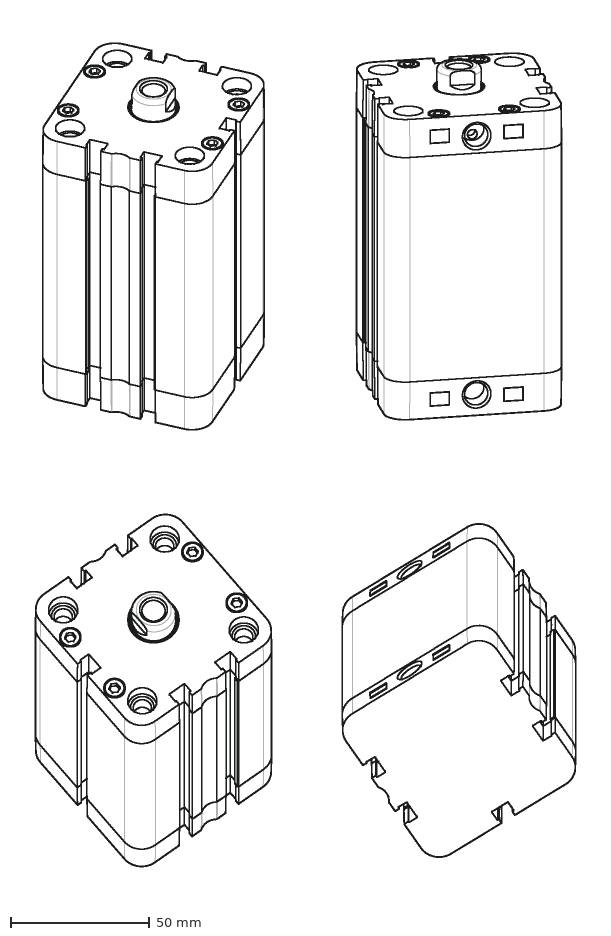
import cadquery as cq
import math


SIDE = 65.5
CORNER_RADIUS = 8.0
TOTAL_LENGTH = 123.0
ROD_PROJECTION = 8.2
CAP_HEIGHT = 14.5
CAP_DRAFT = 0.7
BORE_DIAMETER = 50.0

HALF = SIDE / 2
HOUSING_LENGTH = TOTAL_LENGTH - ROD_PROJECTION
BARREL_LENGTH = HOUSING_LENGTH - 2 * CAP_HEIGHT
BARREL_TOP = CAP_HEIGHT + BARREL_LENGTH
CUT_MARGIN = 1.0

SLOT_OFFSET = 10.5
SLOT_WIDTH = 7.0
SLOT_DEPTH = 5.6
LIP_DEPTH = 1.9
INNER_LIP = 0.7
BARREL_OUTER_LIP = 0.9
CAP_OUTER_LIP = 0.4
LIP_CHAMFER = 0.4
SIDE_SLOT_LIP = 0.65
CAP_SIDE_SLOT_DEPTH = 5.8
BARREL_SIDE_SLOT_DEPTH = 5.5

GROOVE_WIDTH = 7.0
GROOVE_DEPTH = 1.2
GROOVE_EDGE_FILLET = 0.5

MOUNT_PITCH = 46.5
MOUNT_COUNTERBORE_DIAMETER = 10.5
MOUNT_COUNTERBORE_DEPTH = 5.0
MOUNT_CHAMFER_DIAMETER = 8.38
MOUNT_HOLE_DIAMETER = 6.65
MOUNT_HOLE_DEPTH = 12.0

SCREW_X = 28.0
SCREW_Y = 13.0
SCREW_HEAD_DIAMETER = 7.5
SCREW_SEAT_DIAMETER = 7.7
SCREW_RING_DEPTH = 0.5
SCREW_FACE_DIAMETER = 6.9
SOCKET_FLATS = 3.5
SOCKET_DEPTH = 2.0

PORT_DIAMETER = 8.57
PORT_MOUTH_DIAMETER = 10.5
PORT_DEPTH = 8.0
PORT_INSET = 8.0
PORT_SIDE_SHIFT = (CAP_HEIGHT - PORT_INSET) * math.tan(math.radians(CAP_DRAFT))
PASSAGE_DIAMETER = 3.5
PASSAGE_OFFSET = 2.0
PASSAGE_DEPTH = 4.0

LABEL_Y = 13.6
LABEL_WIDTH = 7.0
LABEL_HEIGHT = 5.0
LABEL_DEPTH = 0.3
LABEL_INSET = 7.2

ROD_DIAMETER = 16.0
ROD_TIP_FILLET = 1.7
ROD_FLATS = 13.2
ROD_FLAT_LENGTH = 5.4
ROD_THREAD_DIAMETER = 8.38
ROD_THREAD_MOUTH = 10.0
ROD_THREAD_DEPTH = 20.0
PISTON_LENGTH = 16.0

ROD_MOUTH_DIAMETER = 18.5
ROD_SEAL_DIAMETER = 17.7
ROD_SEAL_DEPTH = 0.5
ROD_GAP_DIAMETER = 16.54
ROD_GAP_DEPTH = 1.0


def frustum(diameter_at_mouth, diameter_below):
    """Closed 45 degree countersink, mouth on Z = 0, opening upwards."""
    mouth, below = diameter_at_mouth / 2, diameter_below / 2
    return (
        cq.Workplane("XZ")
        .polyline([(0, 0), (mouth, 0), (below, below - mouth), (0, below - mouth)])
        .close()
        .revolve(360, (0, 0, 0), (0, 1, 0))
    )


def drill(diameter, depth):
    """Cylinder reaching from Z = 0 downwards."""
    return cq.Workplane("XY").circle(diameter / 2).extrude(-depth)


def slot_pair_cutter(outer_lip, lip_chamfer, length):
    """The two lipped slots of the -Y side, up from Z = 0."""
    channel_inner = SLOT_OFFSET - SLOT_WIDTH / 2
    channel_outer = SLOT_OFFSET + SLOT_WIDTH / 2
    mouth_inner = channel_inner + INNER_LIP
    mouth_outer = channel_outer - outer_lip
    lip_y = LIP_DEPTH - HALF
    flare = lip_chamfer + CUT_MARGIN if lip_chamfer else 0
    slot = (
        cq.Workplane("XY")
        .moveTo(mouth_inner, -HALF - CUT_MARGIN)
        .lineTo(mouth_inner, lip_y)
        .lineTo(channel_inner, lip_y)
        .lineTo(channel_inner, SLOT_DEPTH - HALF)
        .lineTo(channel_outer, SLOT_DEPTH - HALF)
        .lineTo(channel_outer, lip_y)
        .lineTo(mouth_outer, lip_y)
        .lineTo(mouth_outer, lip_chamfer - HALF)
        .lineTo(mouth_outer + flare, -HALF - CUT_MARGIN)
        .close()
        .extrude(length)
    )
    return slot.union(slot.mirror("YZ"))


def groove_cutter(length):
    """Round groove in the middle of the -Y side, up from Z = 0."""
    half_width = GROOVE_WIDTH / 2
    radius = (half_width**2 + GROOVE_DEPTH**2) / (2 * GROOVE_DEPTH)
    return (
        cq.Workplane("XY")
        .center(0, GROOVE_DEPTH - HALF - radius)
        .circle(radius)
        .extrude(length)
    )


def side_slot_cutter(depth, length):
    """The single lipped slot of the +X side, up from Z = 0."""
    channel_depth = depth - LIP_DEPTH
    channel = (
        cq.Workplane("XY")
        .center(HALF - depth + channel_depth / 2, 0)
        .rect(channel_depth, SLOT_WIDTH)
        .extrude(length)
    )
    mouth_depth = LIP_DEPTH + CUT_MARGIN
    mouth = (
        cq.Workplane("XY")
        .center(HALF + CUT_MARGIN - mouth_depth / 2, 0)
        .rect(mouth_depth, SLOT_WIDTH - 2 * SIDE_SLOT_LIP)
        .extrude(length)
    )
    return channel.union(mouth)


def profile_block(length, draft, outer_lip, lip_chamfer, side_slot_depth):
    """Rounded square block with all lengthwise slots, up from Z = 0; the grooves follow the draft."""
    outline = cq.Sketch().rect(SIDE, SIDE).vertices().fillet(CORNER_RADIUS)
    block = cq.Workplane("XY").placeSketch(outline).extrude(length, taper=draft)
    groove = groove_cutter(length + CUT_MARGIN).translate((0, 0, -CUT_MARGIN / 2))
    groove = groove.rotate((0, -HALF, 0), (1, -HALF, 0), -draft)
    front_cuts = slot_pair_cutter(outer_lip, lip_chamfer, length).union(groove)
    block = block.cut(front_cuts).cut(front_cuts.mirror("XZ"))
    return block.cut(side_slot_cutter(side_slot_depth, length))


def port_cutter():
    """Port with countersunk mouth on the -X side, its axis on Z = 0."""
    port = drill(PORT_DIAMETER, PORT_DEPTH).union(frustum(PORT_MOUTH_DIAMETER, PORT_DIAMETER))
    mouth_clearance = cq.Workplane("XY").circle(PORT_MOUTH_DIAMETER / 2).extrude(CUT_MARGIN)
    return face_left(port.union(mouth_clearance))


def face_left(tool):
    """Turn a tool that opens upwards so that it opens on the drafted -X side."""
    return tool.rotate((0, 0, 0), (0, 1, 0), -90).translate((PORT_SIDE_SHIFT - HALF, 0, 0))


def cap_blank():
    """Features shared by both caps; joint face on Z = 0, outer face upwards."""
    cap = profile_block(CAP_HEIGHT, CAP_DRAFT, CAP_OUTER_LIP, 0, CAP_SIDE_SLOT_DEPTH)
    groove_edges = cq.selectors.BoxSelector(
        (-GROOVE_WIDTH / 2 - CUT_MARGIN, -SIDE, CAP_HEIGHT / 4),
        (GROOVE_WIDTH / 2 + CUT_MARGIN, SIDE, CAP_HEIGHT * 3 / 4),
    )
    cap = cap.edges(groove_edges).fillet(GROOVE_EDGE_FILLET)
    cap = cap.cut(port_cutter().translate((0, 0, CAP_HEIGHT - PORT_INSET)))
    label_reach = LABEL_DEPTH + PORT_SIDE_SHIFT
    labels = (
        cq.Workplane("YZ", origin=(-HALF, 0, CAP_HEIGHT - LABEL_INSET))
        .pushPoints([(-LABEL_Y, 0), (LABEL_Y, 0)])
        .rect(LABEL_WIDTH, LABEL_HEIGHT)
        .extrude(label_reach)
    )
    return cap.cut(labels)


def mount_hole_cutter():
    """Counterbored and countersunk thread hole, down from Z = 0."""
    counterbore = drill(MOUNT_COUNTERBORE_DIAMETER, MOUNT_COUNTERBORE_DEPTH)
    chamfer = frustum(MOUNT_CHAMFER_DIAMETER, MOUNT_HOLE_DIAMETER)
    return (
        counterbore.union(chamfer.translate((0, 0, -MOUNT_COUNTERBORE_DEPTH)))
        .union(drill(MOUNT_HOLE_DIAMETER, MOUNT_HOLE_DEPTH))
    )


def screw_head_cutter():
    """Ring groove with a bevelled inner edge, and the hexagon socket."""
    face = SCREW_FACE_DIAMETER / 2
    head = SCREW_HEAD_DIAMETER / 2
    seat = SCREW_SEAT_DIAMETER / 2
    ring = (
        cq.Workplane("XZ")
        .moveTo(face, 0)
        .lineTo(head, face - head)
        .lineTo(head, -SCREW_RING_DEPTH)
        .lineTo(seat, -SCREW_RING_DEPTH)
        .lineTo(seat, 0)
        .close()
        .revolve(360, (0, 0, 0), (0, 1, 0))
    )
    socket = (
        cq.Workplane("XY")
        .transformed(rotate=(0, 0, 90))
        .polygon(6, SOCKET_FLATS / math.cos(math.pi / 6))
        .extrude(-SOCKET_DEPTH)
    )
    return ring.union(socket)


def rod_opening_cutter():
    """Stepped mouth, then a running fit on the rod through the whole cap."""
    return (
        frustum(ROD_MOUTH_DIAMETER, ROD_SEAL_DIAMETER)
        .union(drill(ROD_SEAL_DIAMETER, ROD_SEAL_DEPTH))
        .union(drill(ROD_GAP_DIAMETER, ROD_GAP_DEPTH))
        .union(drill(ROD_DIAMETER, CAP_HEIGHT))
    )


def make_barrel():
    """Slotted tube between the caps."""
    barrel = profile_block(
        BARREL_LENGTH, 0, BARREL_OUTER_LIP, LIP_CHAMFER, BARREL_SIDE_SLOT_DEPTH
    )
    bore = cq.Workplane("XY").circle(BORE_DIAMETER / 2).extrude(BARREL_LENGTH)
    return barrel.cut(bore).translate((0, 0, CAP_HEIGHT))


def make_front_cap():
    """Upper cap with rod opening, air passage, mounting holes and screw heads."""
    cap = cap_blank()
    passage = face_left(drill(PASSAGE_DIAMETER, PORT_DEPTH + PASSAGE_DEPTH))
    cap = cap.cut(passage.translate((0, 0, CAP_HEIGHT - PORT_INSET - PASSAGE_OFFSET)))
    cap = cap.cut(rod_opening_cutter().translate((0, 0, CAP_HEIGHT)))
    for x_side in (-1, 1):
        for y_side in (-1, 1):
            mount_place = (x_side * MOUNT_PITCH / 2, y_side * MOUNT_PITCH / 2, CAP_HEIGHT)
            screw_place = (x_side * SCREW_X, y_side * SCREW_Y, CAP_HEIGHT)
            cap = cap.cut(mount_hole_cutter().translate(mount_place))
            cap = cap.cut(screw_head_cutter().translate(screw_place))
    return cap.translate((0, 0, BARREL_TOP))


def make_rear_cap():
    """Lower cap, a mirrored blank."""
    return cap_blank().mirror("XY").translate((0, 0, CAP_HEIGHT))


def make_piston_rod():
    """Rod and piston in one piece, retracted onto the rear cap."""
    rod_length = TOTAL_LENGTH - CAP_HEIGHT
    rod = cq.Workplane("XY").circle(ROD_DIAMETER / 2).extrude(rod_length)
    rod = rod.faces(">Z").edges().fillet(ROD_TIP_FILLET)
    rod = rod.union(cq.Workplane("XY").circle(BORE_DIAMETER / 2).extrude(PISTON_LENGTH))

    flat_x = ROD_FLATS / 2
    reach = ROD_DIAMETER / 2 + CUT_MARGIN
    flat_end = rod_length - ROD_FLAT_LENGTH
    flat = (
        cq.Workplane("XZ")
        .moveTo(flat_x, rod_length)
        .lineTo(flat_x, flat_end)
        .lineTo(reach, flat_end - (reach - flat_x))
        .lineTo(reach, rod_length)
        .close()
        .extrude(ROD_DIAMETER / 2, both=True)
    )
    rod = rod.cut(flat).cut(flat.mirror("YZ"))

    thread = drill(ROD_THREAD_DIAMETER, ROD_THREAD_DEPTH)
    thread = thread.union(frustum(ROD_THREAD_MOUTH, ROD_THREAD_DIAMETER))
    rod = rod.cut(thread.translate((0, 0, rod_length)))
    return rod.translate((0, 0, CAP_HEIGHT))


barrel = make_barrel()
front_cap = make_front_cap()
rear_cap = make_rear_cap()
piston_rod = make_piston_rod()

result = cq.Compound.makeCompound(
    [barrel.val(), front_cap.val(), rear_cap.val(), piston_rod.val()]
)